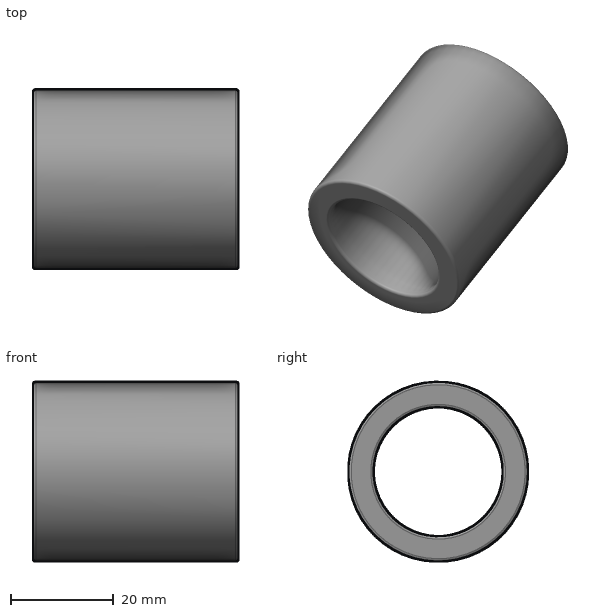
import cadquery as cq

length = 40.0
outer_diameter = 35.0
bore_diameter = 25.0
edge_radius = 0.6

tube = (
    cq.Workplane("YZ", origin=(-length / 2, 0, 0))
    .circle(outer_diameter / 2)
    .circle(bore_diameter / 2)
    .extrude(length)
)

result = tube.faces("<X or >X").edges().fillet(edge_radius)